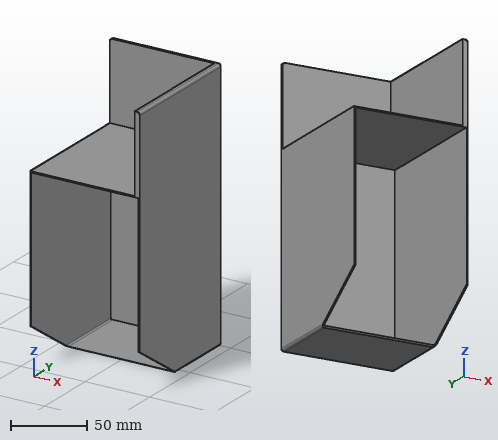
import cadquery as cq

width = 85.0
depth = 100.0
height = 200.0

shell_wall = 1.0
back_wall = 2.0
upper_side_wall = 4.0
upper_wall_height = 60.0

corner_radius = 2.0
inner_radius = corner_radius - shell_wall

slope_height = 30.0
slope_depth = 45.0

ledge_height = height - upper_wall_height
front_y = -depth / 2


def corner_block(x_size, y_size, z_size):
    """Box centred on X, with its front at the front face and its base at Z = 0."""
    block = cq.Workplane("XY").box(x_size, y_size, z_size, centered=(True, False, False))
    return block.translate((0, front_y, 0))


def rounded_envelope():
    return corner_block(width, depth, height).edges("|Y").fillet(corner_radius)


def upper_corner_cut():
    """Space above the ledge, leaving only the back wall and the +X side wall."""
    cut = corner_block(width, depth - back_wall, upper_wall_height)
    return cut.translate((-upper_side_wall, 0, ledge_height))


def compartment():
    """Lower cavity, open at the front, with small rounds beside the floor."""
    cavity_width = width - 2 * shell_wall
    cavity_height = ledge_height - 2 * shell_wall
    cavity = corner_block(cavity_width, depth - back_wall, cavity_height)
    cavity = cavity.edges("|Y and <Z").fillet(inner_radius)
    return cavity.translate((0, 0, shell_wall))


def front_slope():
    """Triangular prism removed across the full width at the lower front."""
    profile = [(front_y, 0), (front_y + slope_depth, 0), (front_y, slope_height)]
    return cq.Workplane("YZ").polyline(profile).close().extrude(width / 2, both=True)


result = (
    rounded_envelope()
    .cut(upper_corner_cut())
    .cut(compartment())
    .cut(front_slope())
)